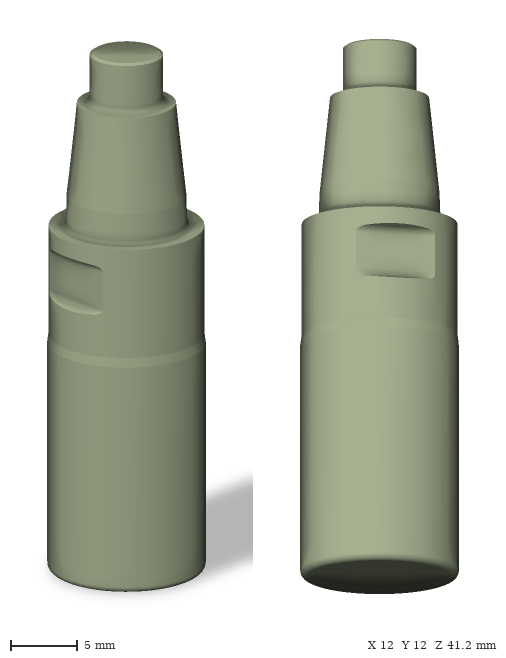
import cadquery as cq
import math

SLEEVE_TOP = 18.8
SHOULDER_Z = 27.4
TAPER_BASE_Z = 29.83
TAPER_TOP_Z = 37.2
TOTAL_HEIGHT = 41.2

SLEEVE_DIAMETER = 12.0
SLEEVE_RADIUS = SLEEVE_DIAMETER / 2
SLEEVE_BASE_ROUND = 0.5
SLEEVE_LEAD_IN = 0.75

COLLAR_RADIUS = 5.9
NECK_RADIUS = 4.6
TAPER_BASE_RADIUS = 4.55
NECK_FILLET = 0.35
TAPER_TOP_RADIUS = 3.75
TIP_DIAMETER = 5.55
TIP_RADIUS = TIP_DIAMETER / 2
TIP_FILLET = 0.5
TIP_CHAMFER_WIDTH = 0.25
TIP_CHAMFER_HEIGHT = 0.15

FLAT_OFFSET = 5.03
FLAT_HEIGHT = 3.75
FLAT_CENTRE_Z = 24.0
FLAT_CORNER_RADIUS = 0.5
FLAT_WALL_SLOPE = 15.0


def make_sleeve():
    """Cylinder with a rounded base and a slim lead-in cone meeting the collar."""
    body = cq.Workplane("XY").circle(SLEEVE_RADIUS).extrude(SLEEVE_TOP - SLEEVE_LEAD_IN)
    body = body.faces("<Z").edges().fillet(SLEEVE_BASE_ROUND)
    lead_in = cq.Solid.makeCone(
        SLEEVE_RADIUS,
        COLLAR_RADIUS,
        SLEEVE_LEAD_IN,
        pnt=cq.Vector(0, 0, SLEEVE_TOP - SLEEVE_LEAD_IN),
    )
    return body.union(cq.Workplane(lead_in))


def make_turned_insert():
    """Stepped shaft with a slightly conical neck, and concave fillets at the neck and tip."""
    fillet_mid = 1 - 0.5 ** 0.5
    profile = (
        cq.Workplane("XZ")
        .moveTo(0, SLEEVE_TOP)
        .lineTo(COLLAR_RADIUS, SLEEVE_TOP)
        .lineTo(COLLAR_RADIUS, SHOULDER_Z)
        .lineTo(NECK_RADIUS + NECK_FILLET, SHOULDER_Z)
        .threePointArc(
            (NECK_RADIUS + NECK_FILLET * fillet_mid, SHOULDER_Z + NECK_FILLET * fillet_mid),
            (NECK_RADIUS, SHOULDER_Z + NECK_FILLET),
        )
        .lineTo(TAPER_BASE_RADIUS, TAPER_BASE_Z)
        .lineTo(TAPER_TOP_RADIUS, TAPER_TOP_Z)
        .lineTo(TIP_RADIUS + TIP_FILLET, TAPER_TOP_Z)
        .threePointArc(
            (TIP_RADIUS + TIP_FILLET * fillet_mid, TAPER_TOP_Z + TIP_FILLET * fillet_mid),
            (TIP_RADIUS, TAPER_TOP_Z + TIP_FILLET),
        )
        .lineTo(TIP_RADIUS, TOTAL_HEIGHT - TIP_CHAMFER_HEIGHT)
        .lineTo(TIP_RADIUS - TIP_CHAMFER_WIDTH, TOTAL_HEIGHT)
        .lineTo(0, TOTAL_HEIGHT)
        .close()
    )
    return profile.revolve(360, (0, 0, 0), (0, 1, 0))


def make_flat_cutter(side):
    """Prism that mills one flat, on the +Y or -Y side, with sloped end walls and rounded corners."""
    cutter_depth = COLLAR_RADIUS
    inner_y = side * FLAT_OFFSET
    outer_y = side * (FLAT_OFFSET + cutter_depth)
    inner_half = FLAT_HEIGHT / 2
    outer_half = inner_half + cutter_depth * math.tan(math.radians(FLAT_WALL_SLOPE))
    inner_face = "<Y" if side > 0 else ">Y"
    return (
        cq.Workplane("YZ")
        .polyline(
            [
                (inner_y, FLAT_CENTRE_Z - inner_half),
                (outer_y, FLAT_CENTRE_Z - outer_half),
                (outer_y, FLAT_CENTRE_Z + outer_half),
                (inner_y, FLAT_CENTRE_Z + inner_half),
            ]
        )
        .close()
        .extrude(COLLAR_RADIUS, both=True)
        .faces(inner_face)
        .edges("|X")
        .fillet(FLAT_CORNER_RADIUS)
    )


def make_insert():
    """Turned shaft with the two opposite flats cut into its collar."""
    body = make_turned_insert()
    for side in (-1, 1):
        body = body.cut(make_flat_cutter(side))
    return body


sleeve = make_sleeve()
insert = make_insert()

result = cq.Compound.makeCompound([sleeve.val(), insert.val()])